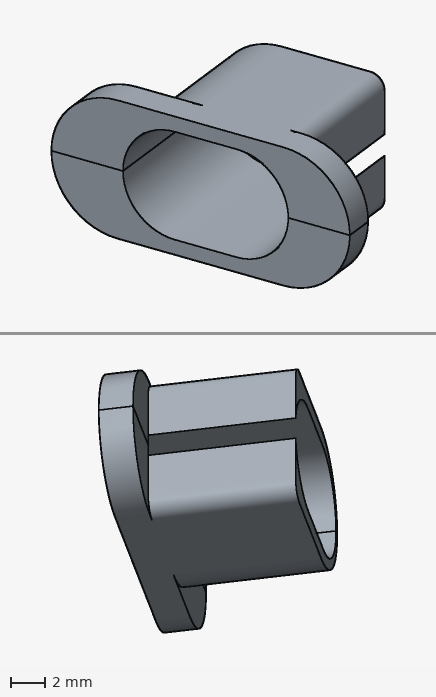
import cadquery as cq

height = 9.1
flange_length = 20.48
flange_thickness = 2.05
depth = 10.85

collar_left = -5.7
collar_right = 5.95
collar_corner_radius = 1.0

opening_left = -5.32
opening_right = 6.02
opening_height = 7.1

half_height = height / 2


def round_ended_bar(x_min, x_max, bar_height, bar_depth):
    """Obround bar running from the front face toward +Y."""
    center_x = (x_min + x_max) / 2
    profile = cq.Workplane("XZ", origin=(center_x, 0, 0)).slot2D(x_max - x_min, bar_height)
    return profile.extrude(-bar_depth)


def collar_body():
    """D-shaped bar with a half-round left end and a flat, corner-rounded right end."""
    round_center_x = collar_left + half_height
    blank = (
        cq.Workplane("XZ")
        .moveTo(round_center_x, -half_height)
        .lineTo(collar_right, -half_height)
        .lineTo(collar_right, half_height)
        .lineTo(round_center_x, half_height)
        .threePointArc((collar_left, 0), (round_center_x, -half_height))
        .close()
        .extrude(-depth)
    )
    right_corners = blank.faces(">X").edges("|Y")
    return right_corners.fillet(collar_corner_radius)


def whole_bushing():
    """Flange and collar with the opening through both."""
    flange = round_ended_bar(-flange_length / 2, flange_length / 2, height, flange_thickness)
    opening = round_ended_bar(opening_left, opening_right, opening_height, depth)
    return flange.union(collar_body()).cut(opening)


def side_block(z_min):
    """Block covering everything on one side of the parting plane, from z_min upward."""
    block = cq.Workplane("XY").box(flange_length, depth, half_height, centered=(True, False, False))
    return block.translate((0, 0, z_min))


bushing = whole_bushing()

upper_half = bushing.intersect(side_block(0))

lower_half = bushing.intersect(side_block(-half_height))

result = cq.Compound.makeCompound([upper_half.val(), lower_half.val()])